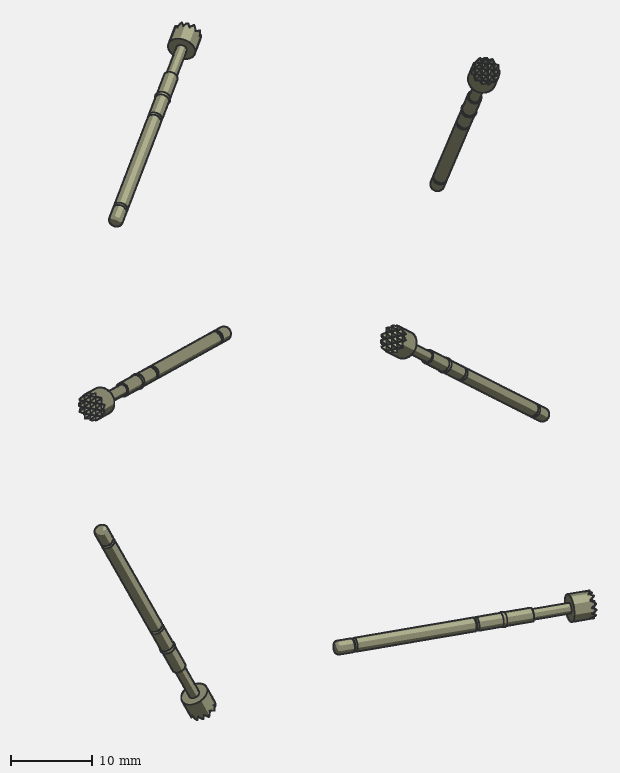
import cadquery as cq
import math

total_length = 34.0

head_diameter = 3.5
head_length = 3.0
tooth_pitch = 0.8
tooth_angle = 60.0
tooth_rows = 5

stem_diameter = 1.35
stem_length = 5.0

barrel_diameter = 1.77
bead_diameter = 1.97
bead_width = 0.48
bead_from_tip = 11.75
groove_width = 0.4
groove_depth = 0.2
groove_places_from_tip = (15.4, 31.45)
tail_radius = 0.5

head_back = total_length - head_length
barrel_radius = barrel_diameter / 2
barrel_length = head_back - stem_length
tooth_depth = tooth_pitch / 2 / math.tan(math.radians(tooth_angle / 2))


def cylinder(diameter, start, length):
    """Cylinder along +Y that begins at the given Y."""
    plane = cq.Plane(origin=(0, start, 0), xDir=(1, 0, 0), normal=(0, 1, 0))
    return cq.Workplane(plane).circle(diameter / 2).extrude(length)


def v_groove(center):
    """Ring with a V section that is cut into the barrel."""
    half_width = groove_width / 2
    section = (
        cq.Workplane("XY")
        .moveTo(barrel_radius, center - half_width)
        .lineTo(barrel_radius - groove_depth, center)
        .lineTo(barrel_radius, center + half_width)
        .close()
    )
    return section.revolve(360, (0, 0, 0), (0, 1, 0))


def bead(center):
    """Solid disc with a rounded rim that stands proud of the barrel."""
    half_width = bead_width / 2
    section = (
        cq.Workplane("XY")
        .moveTo(0, center - half_width)
        .lineTo(barrel_radius, center - half_width)
        .threePointArc((bead_diameter / 2, center), (barrel_radius, center + half_width))
        .lineTo(0, center + half_width)
        .close()
    )
    return section.revolve(360, (0, 0, 0), (0, 1, 0))


def make_barrel():
    barrel = cylinder(barrel_diameter, 0, barrel_length)
    barrel = barrel.faces("<Y").edges().fillet(tail_radius)
    for distance in groove_places_from_tip:
        barrel = barrel.cut(v_groove(total_length - distance))
    return barrel.union(bead(total_length - bead_from_tip))


def tooth_valley(offset):
    """V-shaped bar along Z that separates two neighbouring rows of teeth."""
    half_pitch = tooth_pitch / 2
    return (
        cq.Workplane("XY")
        .moveTo(offset - half_pitch, total_length)
        .lineTo(offset, total_length - tooth_depth)
        .lineTo(offset + half_pitch, total_length)
        .close()
        .extrude(head_diameter, both=True)
    )


def make_head():
    head = cylinder(head_diameter, head_back, head_length)
    for index in range(tooth_rows + 1):
        valley = tooth_valley((index - tooth_rows / 2) * tooth_pitch)
        crossing_valley = valley.rotate((0, 0, 0), (0, 1, 0), 90)
        head = head.cut(valley).cut(crossing_valley)
    return head


stem = cylinder(stem_diameter, barrel_length, stem_length)
result = make_barrel().union(stem).union(make_head())